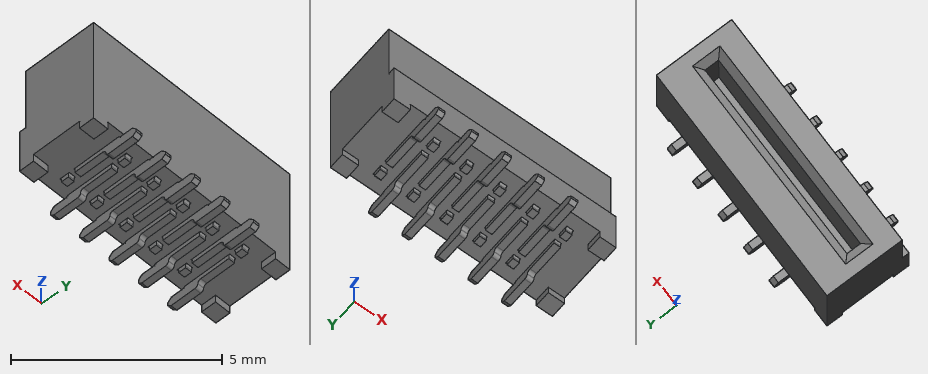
import cadquery as cq
import math


length = 6.7
total_height = 3.5
housing_depth = 2.44
ledge_depth = 0.2
ledge_top = 1.495
foot_bottom = 0.1
floor_z = 0.34
foot_length = 0.49
foot_depth = 0.46

mouth_length = 6.015
mouth_width = 0.81
lead_in_depth = 0.2
throat_length = 5.575
throat_width = 0.4
slot_depth = 2.01
slot_floor_length = 5.52
slot_floor_width = 0.39

pin_count = 10
pin_row_span = 4.5
pin_pitch = pin_row_span / (pin_count - 1)
pin_width = 0.2
pad_tip_span = 3.3
pin_tip_y = pad_tip_span / 2
pad_top = 0.3
pad_heel_y = 0.655
bend_radius = 0.1
tip_top_chamfer = 0.12
tip_bottom_length = 0.115
tip_bottom_height = 0.095
shoulder_y = 1.125
bar_bottom = 2 * bend_radius
bar_end_y = -0.805
bar_end_radius = 0.08
pin_top = 0.4
arch_y = -0.47
arch_radius = 0.11
arch_spring_z = 0.27

half_depth = housing_depth / 2


def make_housing():
    """Stepped block with a cross-shaped recess underneath that leaves four corner feet."""
    block = cq.Workplane("XY").box(
        length, housing_depth, total_height - foot_bottom, centered=(True, True, False)
    ).translate((0, 0, foot_bottom))
    step = cq.Workplane("XY").box(
        length, ledge_depth, total_height - ledge_top, centered=(True, False, False)
    ).translate((0, -half_depth, ledge_top))
    recess_height = floor_z - foot_bottom
    lengthwise = cq.Workplane("XY").box(
        length, housing_depth - 2 * foot_depth, recess_height, centered=(True, True, False)
    )
    crosswise = cq.Workplane("XY").box(
        length - 2 * foot_length, housing_depth, recess_height, centered=(True, True, False)
    )
    recess = lengthwise.union(crosswise).translate((0, 0, foot_bottom))
    return block.cut(step).cut(recess)


def make_slot():
    """Flared mouth above a throat whose end and side walls taper slightly."""
    throat_z = total_height - lead_in_depth
    mouth = (
        cq.Workplane("XY", origin=(0, 0, total_height))
        .rect(mouth_length, mouth_width)
        .workplane(offset=-lead_in_depth)
        .rect(throat_length, throat_width)
        .loft(ruled=True)
    )
    throat = (
        cq.Workplane("XY", origin=(0, 0, throat_z))
        .rect(throat_length, throat_width)
        .workplane(offset=lead_in_depth - slot_depth)
        .rect(slot_floor_length, slot_floor_width)
        .loft(ruled=True)
    )
    return mouth.union(throat)


def make_pin():
    """Pin centred on X = 0 whose pad points to +Y and whose bar crosses under the housing."""
    diagonal = bend_radius * math.sqrt(0.5)
    heel_arc_y = pad_heel_y + bend_radius - diagonal
    knee_arc_y = pad_heel_y - bend_radius + diagonal
    end_diagonal = bar_end_radius * math.sqrt(0.5)
    end_arc_point = (bar_end_y - bar_end_radius + end_diagonal, arch_spring_z + end_diagonal)
    end_top_y = bar_end_y - bar_end_radius
    profile = (
        cq.Workplane("YZ")
        .moveTo(pin_tip_y - tip_bottom_length, 0)
        .lineTo(pad_heel_y + bend_radius, 0)
        .threePointArc((heel_arc_y, bend_radius - diagonal), (pad_heel_y, bend_radius))
        .threePointArc((knee_arc_y, bend_radius + diagonal), (pad_heel_y - bend_radius, bar_bottom))
        .lineTo(arch_y + arch_radius, bar_bottom)
        .lineTo(arch_y + arch_radius, arch_spring_z)
        .threePointArc((arch_y, arch_spring_z + arch_radius), (arch_y - arch_radius, arch_spring_z))
        .lineTo(arch_y - arch_radius, bar_bottom)
        .lineTo(bar_end_y, bar_bottom)
        .lineTo(bar_end_y, arch_spring_z)
        .threePointArc(end_arc_point, (end_top_y, arch_spring_z + bar_end_radius))
        .lineTo(end_top_y, pin_top)
        .lineTo(shoulder_y - (pin_top - pad_top), pin_top)
        .lineTo(shoulder_y, pad_top)
        .lineTo(pin_tip_y - tip_top_chamfer, pad_top)
        .lineTo(pin_tip_y, pad_top - tip_top_chamfer)
        .lineTo(pin_tip_y, tip_bottom_height)
        .close()
    )
    return profile.extrude(pin_width / 2, both=True)


result = make_housing().cut(make_slot())

rear_pin = make_pin()
front_pin = rear_pin.mirror("XZ")
for index in range(pin_count):
    pin = front_pin if index % 2 == 0 else rear_pin
    pin_x = (index - (pin_count - 1) / 2) * pin_pitch
    result = result.union(pin.translate((pin_x, 0, 0)))